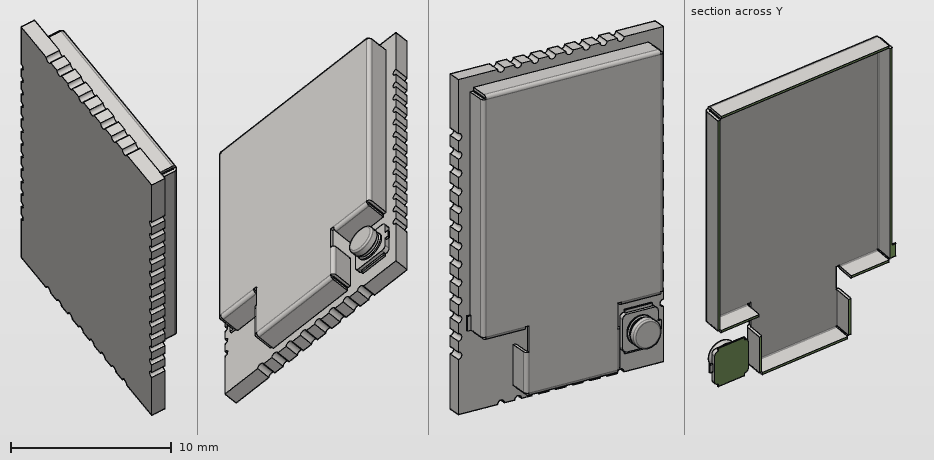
import cadquery as cq
import math


BOARD_WIDTH = 15.0
BOARD_HEIGHT = 23.0
BOARD_THICKNESS = 1.0
NOTCH_RADIUS = 0.25
NOTCH_PITCH = 1.25
SIDE_NOTCHES = 13
SIDE_NOTCH_CENTRE_Z = 0.04
END_NOTCHES = 8

SHIELD_WIDTH = 13.3
SHIELD_HEIGHT = 21.4
SHIELD_RISE = 1.5
SHEET = 0.2
BEND_RADIUS = 0.25
CUTOUT_TOP_Z = -6.1
TONGUE_WIDTH = 7.0
TONGUE_WALL_TOP_Z = -7.65
FOOT_REACH = 0.27
FOOT_LENGTH = 1.0
FOOT_THICKNESS = 0.14

CONNECTOR_X = -5.6
CONNECTOR_Z = -8.7
BASE_SIZE = 2.6
BASE_THICKNESS = 0.35
BASE_CORNER_RADIUS = 0.3
TAB_SPAN = 3.0
TAB_WIDTH = 2.0
TAB_THICKNESS = 0.14
LEAD_REACH = 0.23
LEAD_WIDTH = 0.6
LEAD_THICKNESS = 0.14
BARREL_HEIGHT = 1.25
BARREL_RADIUS = 1.0
BARREL_EDGE_RADIUS = 0.12
GROOVE_CENTRE = 0.6
GROOVE_MOUTH_WIDTH = 0.3
GROOVE_FLOOR_WIDTH = 0.16
GROOVE_DEPTH = 0.1


def block(x_range, y_range, z_range):
    """Box spanning the given (low, high) ranges."""
    lows, highs = zip(x_range, y_range, z_range)
    sizes = [high - low for low, high in zip(lows, highs)]
    return cq.Workplane("XY").box(*sizes, centered=False).translate(lows)


def centred_positions(count, pitch):
    return [(i - (count - 1) / 2) * pitch for i in range(count)]


def make_board():
    half_width = BOARD_WIDTH / 2
    half_height = BOARD_HEIGHT / 2
    board = block(
        (-half_width, half_width),
        (0, BOARD_THICKNESS),
        (-half_height, half_height),
    )
    side_points = [
        (x, SIDE_NOTCH_CENTRE_Z + z)
        for x in (-half_width, half_width)
        for z in centred_positions(SIDE_NOTCHES, NOTCH_PITCH)
    ]
    end_points = [
        (x, z)
        for z in (-half_height, half_height)
        for x in centred_positions(END_NOTCHES, NOTCH_PITCH)
    ]
    notches = (
        cq.Workplane("XZ")
        .pushPoints(side_points + end_points)
        .circle(NOTCH_RADIUS)
        .extrude(-BOARD_THICKNESS)
    )
    return board.cut(notches)


def bent_wall(length):
    """Wall facing +X with its outer face at X = 0, centred on Z = 0, joined by a bend at the top."""
    inner_radius = BEND_RADIUS - SHEET
    bottom = BOARD_THICKNESS
    top = BOARD_THICKNESS + SHIELD_RISE
    bend_y = top - BEND_RADIUS
    diagonal = math.sqrt(0.5)
    return (
        cq.Workplane("XY")
        .moveTo(0, bottom)
        .lineTo(0, bend_y)
        .threePointArc(
            (BEND_RADIUS * (diagonal - 1), bend_y + BEND_RADIUS * diagonal),
            (-BEND_RADIUS, top),
        )
        .lineTo(-BEND_RADIUS, top - SHEET)
        .threePointArc(
            (inner_radius * diagonal - BEND_RADIUS, bend_y + inner_radius * diagonal),
            (-SHEET, bend_y),
        )
        .lineTo(-SHEET, bottom)
        .close()
        .extrude(length / 2, both=True)
    )


def side_walls(outer_x, z_low, z_high):
    """Matching walls at +outer_x and -outer_x."""
    wall = bent_wall(z_high - z_low).translate((outer_x, 0, (z_low + z_high) / 2))
    return [wall, wall.mirror("YZ")]


def end_wall(outer_z, x_low, x_high, facing_up):
    turn = -90 if facing_up else 90
    wall = bent_wall(x_high - x_low).rotate((0, 0, 0), (0, 1, 0), turn)
    return wall.translate(((x_low + x_high) / 2, 0, outer_z))


def make_shield():
    half_width = SHIELD_WIDTH / 2
    half_height = SHIELD_HEIGHT / 2
    half_tongue = TONGUE_WIDTH / 2
    plate_x = half_width - BEND_RADIUS
    plate_z = half_height - BEND_RADIUS
    tongue_x = half_tongue - BEND_RADIUS
    cutout_z = CUTOUT_TOP_Z + BEND_RADIUS
    top = BOARD_THICKNESS + SHIELD_RISE

    roof_y = (top - SHEET, top)
    shield = block((-plate_x, plate_x), roof_y, (cutout_z, plate_z))
    shield = shield.union(block((-tongue_x, tongue_x), roof_y, (-plate_z, cutout_z)))

    walls = side_walls(half_width, cutout_z, plate_z)
    walls += side_walls(half_tongue, -plate_z, TONGUE_WALL_TOP_Z)
    walls.append(end_wall(half_height, -plate_x, plate_x, True))
    walls.append(end_wall(-half_height, -tongue_x, tongue_x, False))
    walls.append(end_wall(CUTOUT_TOP_Z, -plate_x, -half_tongue, False))
    walls.append(end_wall(CUTOUT_TOP_Z, half_tongue, plate_x, False))
    for wall in walls:
        shield = shield.union(wall)

    foot = block(
        (half_width - SHEET, half_width + FOOT_REACH),
        (BOARD_THICKNESS, BOARD_THICKNESS + FOOT_THICKNESS),
        (cutout_z, cutout_z + FOOT_LENGTH),
    )
    return shield.union(foot)


def make_barrel():
    """Turned barrel around the Y axis with a tapered groove under its rim."""
    neck_radius = BARREL_RADIUS - GROOVE_DEPTH
    top = BARREL_HEIGHT
    edge = BARREL_EDGE_RADIUS
    diagonal = edge * math.sqrt(0.5)
    return (
        cq.Workplane("XY")
        .moveTo(0, 0)
        .lineTo(BARREL_RADIUS, 0)
        .lineTo(BARREL_RADIUS, GROOVE_CENTRE - GROOVE_MOUTH_WIDTH / 2)
        .lineTo(neck_radius, GROOVE_CENTRE - GROOVE_FLOOR_WIDTH / 2)
        .lineTo(neck_radius, GROOVE_CENTRE + GROOVE_FLOOR_WIDTH / 2)
        .lineTo(BARREL_RADIUS, GROOVE_CENTRE + GROOVE_MOUTH_WIDTH / 2)
        .lineTo(BARREL_RADIUS, top - edge)
        .threePointArc(
            (BARREL_RADIUS - edge + diagonal, top - edge + diagonal),
            (BARREL_RADIUS - edge, top),
        )
        .lineTo(0, top)
        .close()
        .revolve(360, (0, 0, 0), (0, 1, 0))
    )


def make_connector():
    """Connector built on the Y = 0 plane around the Y axis, then set on the board."""
    half_base = BASE_SIZE / 2
    base = block(
        (-half_base, half_base), (0, BASE_THICKNESS), (-half_base, half_base)
    ).edges("|Y").fillet(BASE_CORNER_RADIUS)
    ground_tabs = block(
        (-TAB_WIDTH / 2, TAB_WIDTH / 2),
        (0, TAB_THICKNESS),
        (-TAB_SPAN / 2, TAB_SPAN / 2),
    )
    signal_lead = block(
        (-half_base - LEAD_REACH, 0),
        (BASE_THICKNESS - LEAD_THICKNESS, BASE_THICKNESS),
        (-LEAD_WIDTH / 2, LEAD_WIDTH / 2),
    )
    connector = base.union(ground_tabs).union(signal_lead).union(make_barrel())
    return connector.translate((CONNECTOR_X, BOARD_THICKNESS, CONNECTOR_Z))


board = make_board()
shield = make_shield()
connector = make_connector()

result = cq.Compound.makeCompound([board.val(), shield.val(), connector.val()])